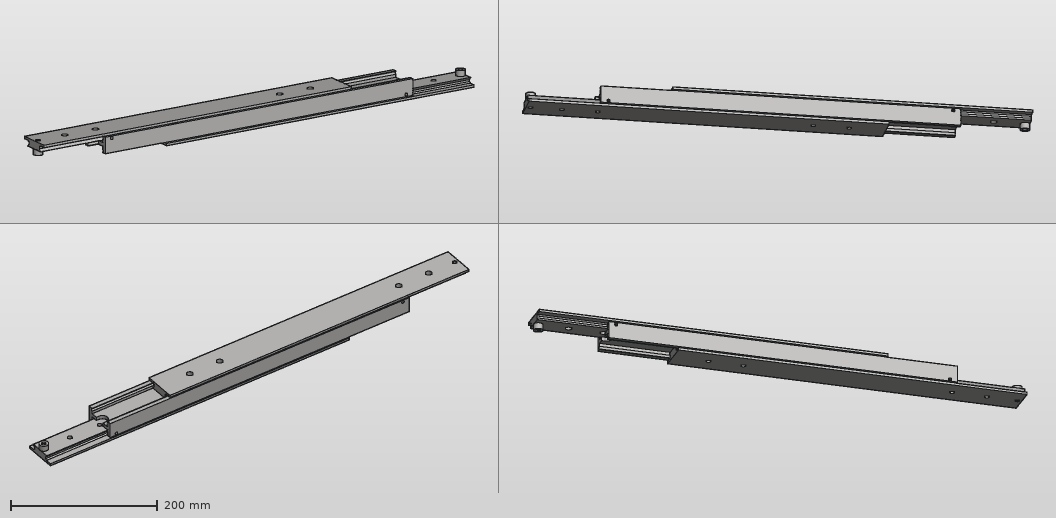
import cadquery as cq

total_length = 700.0
total_height = 34.0
width = 50.0
rail_length = 500.0
stop_overhang = 0.35
travel = (total_length - rail_length) / 2 - stop_overhang
half_width = width / 2
half_height = total_height / 2

flange_thickness = 3.5
flange_underside = half_height - flange_thickness
rail_foot = 5.25
rail_half_width = 16.0
rail_shoulder = 15.5
rail_waist = 13.0
waist_bottom = 9.0
waist_top = 12.0

slide_half_height = 12.0
web_half_thickness = 3.0
wall_thickness = 7.0
wall_inner = half_width - wall_thickness
slide_raceway_height = waist_bottom
slide_raceway_radius = 2.0
slide_raceway_depth = 1.5

hole_pitch = travel / 2
hole_steps = (1, 2, 8, 9)
hole_positions = [hole_pitch * step for step in hole_steps]
upper_hole_diameter = 9.0
lower_hole_diameter = 6.65

stop_diameter = 13.0
stop_height = 8.5
stop_inset = stop_diameter / 2 - stop_overhang
stop_bore_diameter = 6.0
stop_bore_depth = 2.0

notch_depth = 12.5
notch_width = 16.0
wall_hole_diameter = 4.0
wall_hole_inset = 10.5

outer_end = -total_length / 2 + stop_overhang
slide_end = rail_length / 2


def upright_cylinder(diameter, y, bottom, height):
    return cq.Workplane("XY").workplane(offset=bottom).center(0, y).circle(diameter / 2).extrude(height)


def rail_section():
    """Half of the outline runs from the top centre to the foot centre and is mirrored."""
    return (
        cq.Workplane("XZ", origin=(0, outer_end, 0))
        .moveTo(0, half_height)
        .lineTo(half_width, half_height)
        .lineTo(half_width, flange_underside)
        .lineTo(rail_shoulder, flange_underside)
        .lineTo(rail_waist, waist_top)
        .lineTo(rail_waist, waist_bottom)
        .lineTo(rail_half_width, rail_foot)
        .lineTo(0, rail_foot)
        .mirrorY()
    )


def make_rail(hole_diameter):
    """A rail in the upper position, with its stop at the -Y end."""
    rail = rail_section().extrude(-rail_length)
    for position in hole_positions:
        rail = rail.cut(upright_cylinder(hole_diameter, outer_end + position, 0, half_height))

    stop_y = outer_end + stop_inset
    stop_bottom = rail_foot - stop_height
    rail = rail.union(upright_cylinder(stop_diameter, stop_y, stop_bottom, stop_height))
    for bore_bottom in (stop_bottom, half_height - stop_bore_depth):
        rail = rail.cut(upright_cylinder(stop_bore_diameter, stop_y, bore_bottom, stop_bore_depth))
    return rail


def make_slide():
    slide = cq.Workplane("XY").box(width, rail_length, 2 * slide_half_height)
    channel_height = slide_half_height - web_half_thickness
    raceway_centre = wall_inner + slide_raceway_depth - slide_raceway_radius
    for up in (-1, 1):
        channel = cq.Workplane("XY").box(2 * wall_inner, rail_length, channel_height)
        channel_z = up * (web_half_thickness + channel_height / 2)
        slide = slide.cut(channel.translate((0, 0, channel_z)))
        raceways = (
            cq.Workplane("XZ")
            .pushPoints([(side * raceway_centre, up * slide_raceway_height) for side in (-1, 1)])
            .circle(slide_raceway_radius)
            .extrude(rail_length / 2, both=True)
        )
        slide = slide.cut(raceways)

        end_y = -up * slide_end
        notch_length = 2 * notch_depth
        notch = (
            cq.Workplane("XY")
            .center(0, end_y)
            .slot2D(notch_length, notch_width, 90)
            .extrude(web_half_thickness, both=True)
        )
        wall_holes = (
            cq.Workplane("YZ")
            .center(end_y + up * wall_hole_inset, up * slide_raceway_height)
            .circle(wall_hole_diameter / 2)
            .extrude(half_width, both=True)
        )
        slide = slide.cut(notch).cut(wall_holes)
    return slide


upper_rail = make_rail(upper_hole_diameter)
lower_rail = make_rail(lower_hole_diameter).rotate((0, 0, 0), (1, 0, 0), 180)
slide = make_slide()

result = cq.Compound.makeCompound([upper_rail.val(), lower_rail.val(), slide.val()])